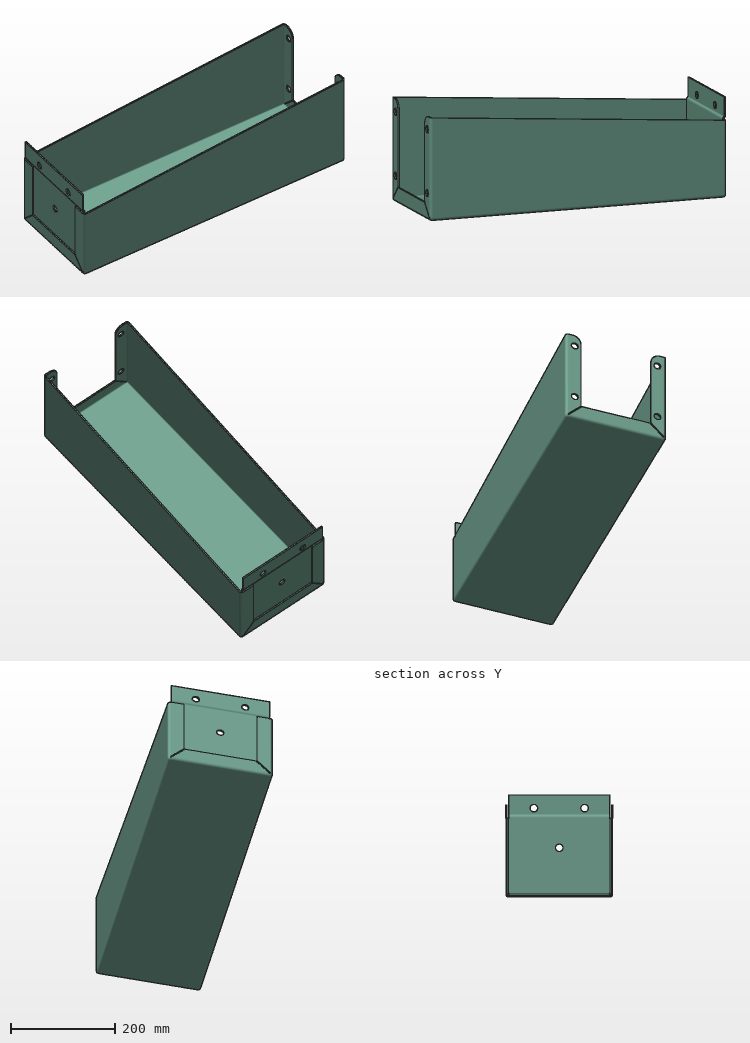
import cadquery as cq
import math

width = 206.5
length = 609.5
rear_height = 203.0
front_height = 152.0

sheet = 3.0
bend_radius = 5.5
inner_radius = bend_radius - sheet

flange_width = 31.0
mitre_gap = 1.0
rear_corner_radius = 18.0

hole_diameter = 14.0
rear_hole_inset = 18.0
rear_hole_heights = (52.0, 177.5)
lip_hole_offset = 49.0
lip_hole_height = 171.0
panel_hole_height = 95.0

panel_side_gap = 6.0
panel_width = width - 2 * panel_side_gap
panel_top = 197.0
step_start = 153.0


def box(size_x, y_start, y_end, z_start, z_end):
    """Block centred on X = 0 between the given Y and Z limits."""
    return (
        cq.Workplane("XY")
        .box(size_x, y_end - y_start, z_end - z_start, centered=(True, False, False))
        .translate((0, y_start, z_start))
    )


def hole_cutter(x, z, y_start, depth):
    """Round cutter that runs along +Y."""
    circle = cq.Workplane("XZ", origin=(x, y_start, z)).circle(hole_diameter / 2)
    return circle.extrude(-depth)


def tray_shell():
    """Open-topped folded sheet whose side walls taper toward the front."""
    outer = box(width, 0, length, 0, rear_height)
    outer = outer.edges("|Z").fillet(bend_radius).faces("<Z").edges().fillet(bend_radius)
    inner = box(width - 2 * sheet, sheet, length - sheet, sheet, rear_height)
    inner = inner.edges("|Z").fillet(inner_radius).faces("<Z").edges().fillet(inner_radius)
    side_outline = (
        cq.Workplane("YZ", origin=(-width / 2, 0, 0))
        .polyline([(0, 0), (length, 0), (length, rear_height), (0, front_height)])
        .close()
        .extrude(width)
    )
    return outer.cut(inner).intersect(side_outline)


def end_opening(y_start):
    """Cutter for the opening that the flanges leave in an end of the tray."""
    return box(width - 2 * flange_width, y_start, y_start + bend_radius, flange_width, rear_height)


def mitre_cutter(side, y_start):
    """Narrow diagonal slot between a side flange and the bottom flange."""
    run = flange_width - bend_radius
    middle = (flange_width + bend_radius) / 2
    return (
        cq.Workplane("XY")
        .box(run * math.sqrt(2), bend_radius, mitre_gap)
        .rotate((0, 0, 0), (0, 1, 0), side * 45)
        .translate((side * (width / 2 - middle), y_start + bend_radius / 2, middle))
    )


def rear_corner_cutter(side):
    """Material outside the rounded upper inner corner of a rear flange."""
    edge = side * (width / 2 - flange_width)
    centre_x = edge + side * rear_corner_radius
    centre_z = rear_height - rear_corner_radius
    diagonal = rear_corner_radius * math.sqrt(0.5)
    return (
        cq.Workplane("XZ", origin=(0, length - bend_radius, 0))
        .moveTo(edge, centre_z)
        .threePointArc((centre_x - side * diagonal, centre_z + diagonal), (centre_x, rear_height))
        .lineTo(edge, rear_height)
        .close()
        .extrude(-bend_radius)
    )


def make_tray():
    tray = tray_shell()
    rear = length - bend_radius
    for y_start in (0, rear):
        tray = tray.cut(end_opening(y_start))
        for side in (-1, 1):
            tray = tray.cut(mitre_cutter(side, y_start))
    for side in (-1, 1):
        tray = tray.cut(rear_corner_cutter(side))
        for height in rear_hole_heights:
            tray = tray.cut(hole_cutter(side * (width / 2 - rear_hole_inset), height, rear, bend_radius))
    return tray


def arc_point(centre, radius, angle):
    """Point in the YZ plane on a circle, with the angle in degrees from +Y."""
    turn = math.radians(angle)
    return (centre[0] + radius * math.cos(turn), centre[1] + radius * math.sin(turn))


def make_front_panel():
    """Flat panel with a lip stepped forward by one sheet through two equal, opposite bends."""
    middle_radius = bend_radius - sheet / 2
    bend_angle = math.degrees(math.acos(1 - sheet / (2 * middle_radius)))
    step_height = 2 * middle_radius * math.sin(math.radians(bend_angle))
    step_end = step_start + step_height
    back = 2 * sheet
    lower_centre = (back - bend_radius, step_start)
    upper_centre = (bend_radius, step_end)
    profile = (
        cq.Workplane("YZ", origin=(-panel_width / 2, 0, 0))
        .moveTo(sheet, panel_side_gap)
        .lineTo(back, panel_side_gap)
        .lineTo(back, step_start)
        .threePointArc(
            arc_point(lower_centre, bend_radius, bend_angle / 2),
            arc_point(lower_centre, bend_radius, bend_angle),
        )
        .threePointArc(arc_point(upper_centre, inner_radius, 180 + bend_angle / 2), (sheet, step_end))
        .lineTo(sheet, panel_top)
        .lineTo(0, panel_top)
        .lineTo(0, step_end)
        .threePointArc(
            arc_point(upper_centre, bend_radius, 180 + bend_angle / 2),
            arc_point(upper_centre, bend_radius, 180 + bend_angle),
        )
        .threePointArc(arc_point(lower_centre, inner_radius, bend_angle / 2), (sheet, step_start))
        .close()
    )
    panel = profile.extrude(panel_width)
    for x, z in (
        (-lip_hole_offset, lip_hole_height),
        (lip_hole_offset, lip_hole_height),
        (0, panel_hole_height),
    ):
        panel = panel.cut(hole_cutter(x, z, 0, back))
    return panel


tray = make_tray()
front_panel = make_front_panel()
result = cq.Compound.makeCompound([tray.solids().val(), front_panel.solids().val()])